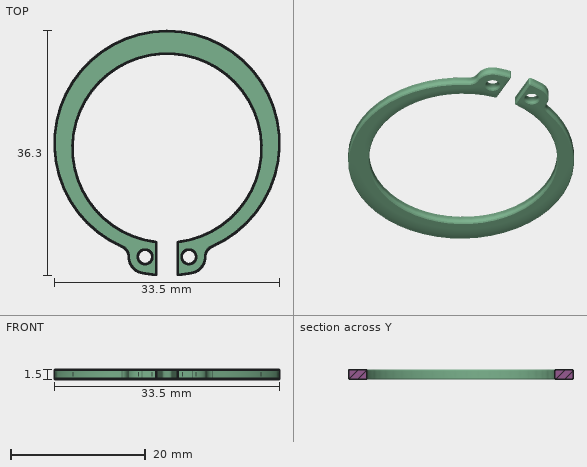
import cadquery as cq
import math

thickness = 1.5
bore_radius = 27.9 / 2
outer_radius = 33.52 / 2
max_band_width = 3.5
lug_height = 5.0
hole_diameter = 2.0
hole_x = 3.25
gap_width = 3.0
lug_root_radius = 1.6
edge_chamfer = 0.15

outer_center_y = bore_radius + max_band_width - outer_radius
lug_round_radius = lug_height / 2
lug_tip_radius = bore_radius + lug_height
hole_pitch_radius = bore_radius + lug_round_radius
hole_y = -math.sqrt(hole_pitch_radius**2 - hole_x**2)
gap_half = gap_width / 2


def point_towards(start, end, distance):
    """Point at a given distance from start, on the line towards end."""
    length = math.dist(start, end)
    return tuple(a + (b - a) * distance / length for a, b in zip(start, end))


def circle_crossing(center_a, radius_a, center_b, radius_b):
    """Crossing of two circles that lies to the right of the line from a to b."""
    length = math.dist(center_a, center_b)
    along = (length**2 + radius_a**2 - radius_b**2) / (2 * length)
    across = math.sqrt(radius_a**2 - along**2)
    unit_x = (center_b[0] - center_a[0]) / length
    unit_y = (center_b[1] - center_a[1]) / length
    return (
        center_a[0] + along * unit_x + across * unit_y,
        center_a[1] + along * unit_y - across * unit_x,
    )


def arc_middle(center, start, end, radius):
    """Middle of the shorter arc between two points on a circle."""
    chord_middle = ((start[0] + end[0]) / 2, (start[1] + end[1]) / 2)
    return point_towards(center, chord_middle, radius)


def mirrored(point):
    """Image of a point across the Y axis."""
    return (-point[0], point[1])


def ring_outline():
    """Closed outline of the ring, symmetric about the Y axis."""
    bore_center = (0, 0)
    outer_center = (0, outer_center_y)
    hole_center = (hole_x, hole_y)
    root_center = circle_crossing(
        hole_center,
        lug_round_radius + lug_root_radius,
        outer_center,
        outer_radius + lug_root_radius,
    )

    bore_end = (gap_half, -math.sqrt(bore_radius**2 - gap_half**2))
    tip_start = (gap_half, -math.sqrt(lug_tip_radius**2 - gap_half**2))
    tip_end = point_towards(bore_center, hole_center, lug_tip_radius)
    root_start = point_towards(hole_center, root_center, lug_round_radius)
    root_end = point_towards(outer_center, root_center, outer_radius)

    lug_arcs = [
        (tip_start, arc_middle(bore_center, tip_start, tip_end, lug_tip_radius), tip_end),
        (tip_end, arc_middle(hole_center, tip_end, root_start, lug_round_radius), root_start),
        (root_start, arc_middle(root_center, root_start, root_end, lug_root_radius), root_end),
    ]

    outline = cq.Workplane("XY", origin=(0, 0, -thickness / 2)).moveTo(*bore_end).lineTo(*tip_start)
    for _, middle, end in lug_arcs:
        outline = outline.threePointArc(middle, end)
    outline = outline.threePointArc((0, outer_center_y + outer_radius), mirrored(root_end))
    for start, middle, _ in reversed(lug_arcs):
        outline = outline.threePointArc(mirrored(middle), mirrored(start))
    return outline.lineTo(*mirrored(bore_end)).threePointArc((0, bore_radius), bore_end).close()


def chamfer_gap_corners(ring):
    """Break the four upright corners beside the gap."""
    reach = gap_half + edge_chamfer / 2
    corners = cq.selectors.BoxSelector(
        (-reach, -lug_tip_radius, -thickness),
        (reach, 0, thickness),
    )
    return ring.edges("|Z").edges(corners).chamfer(edge_chamfer)


def cut_plier_holes(ring):
    holes = (
        cq.Workplane("XY")
        .pushPoints([(-hole_x, hole_y), (hole_x, hole_y)])
        .circle(hole_diameter / 2)
        .extrude(thickness, both=True)
    )
    return ring.cut(holes)


ring = ring_outline().extrude(thickness)
ring = chamfer_gap_corners(ring)
ring = cut_plier_holes(ring)
result = ring.faces("|Z").edges().chamfer(edge_chamfer)